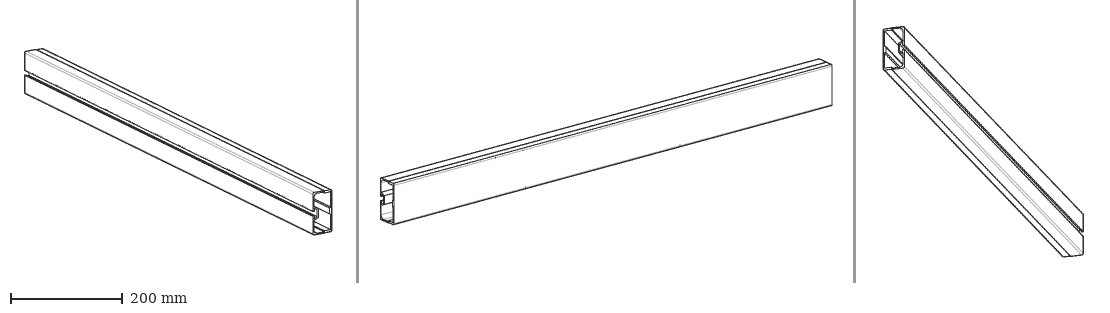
import cadquery as cq

length = 1000.0
depth = 40.0
height = 80.0
wall = 2.5
corner_radius = 3.0
cavity_radius = 7.0

step_depth = 0.5
step_floor_thickness = 4.0
step_end = 16.0

slot_opening = 9.0
channel_depth = 9.0
lip_thickness = 3.0
channel_front_height = 19.0
channel_back_height = 13.0
housing_front_height = 25.0
housing_back_height = 17.0

rib_height = 11.0
rib_base_height = 14.0
rib_thickness = 5.0

front = -depth / 2
back = depth / 2


def bar(y_start, y_end, z_start, z_end):
    """Full-length rectangular bar between two Y and two Z positions."""
    return cq.Workplane("XY").box(length, y_end - y_start, z_end - z_start).translate(
        (0, (y_start + y_end) / 2, (z_start + z_end) / 2)
    )


def tapered_bar(y_start, y_end, start_height, end_height):
    """Full-length bar, centred in Z, whose height changes along Y."""
    outline = [
        (y_start, -start_height / 2),
        (y_end, -end_height / 2),
        (y_end, end_height / 2),
        (y_start, start_height / 2),
    ]
    return cq.Workplane("YZ").polyline(outline).close().extrude(length / 2, both=True)


block = bar(front, back, -height / 2, height / 2)
block = block.cut(bar(back - step_end, back, height / 2 - step_depth, height / 2))
block = block.cut(bar(back - step_end, back, -height / 2, -height / 2 + step_depth))
block = block.edges("|X and (<Y or >Y)").fillet(corner_radius)

cavity = bar(front + wall, back - wall, -height / 2 + wall, height / 2 - wall)
body = block.cut(cavity.edges("|X and <Y").fillet(cavity_radius))

for side in (-1, 1):
    floor = side * (height / 2 - step_depth)
    inner = floor - side * step_floor_thickness
    body = body.union(bar(back - step_end, back - wall, min(floor, inner), max(floor, inner)))

body = body.union(tapered_bar(back - rib_thickness, back - wall, rib_height, rib_base_height))

housing = tapered_bar(
    front + wall,
    front + channel_depth + wall,
    housing_front_height,
    housing_back_height,
)
undercut = tapered_bar(front + lip_thickness, front + channel_depth, channel_front_height, channel_back_height)
opening = bar(front, front + lip_thickness, -slot_opening / 2, slot_opening / 2)
body = body.union(housing).cut(undercut).cut(opening)

result = body